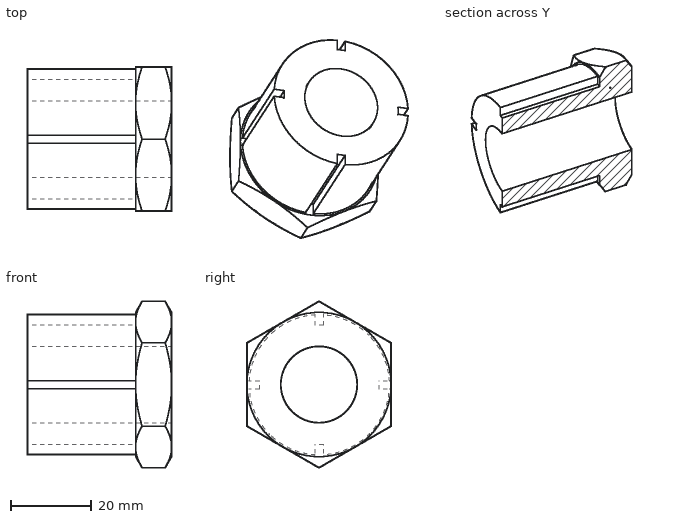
import cadquery as cq
import math

barrel_diameter = 35.0
barrel_length = 27.0
bore_diameter = 19.0

head_sides = 6
across_flats = 36.0
head_thickness = 9.0
chamfer_angle = 30.0

slot_count = 4
slot_width = 2.0
slot_floor_radius = 14.85

total_length = barrel_length + head_thickness
corner_radius = across_flats / 2 / math.cos(math.pi / head_sides)
chamfer_length = (corner_radius - across_flats / 2) * math.tan(math.radians(chamfer_angle))


def make_head():
    """Hexagon with corners on +/-Z, both faces chamfered down to the inscribed circle."""
    hexagon = (
        cq.Workplane("YZ")
        .workplane(offset=barrel_length)
        .transformed(rotate=(0, 0, 90))
        .polygon(head_sides, 2 * corner_radius)
        .extrude(head_thickness)
    )
    envelope = (
        cq.Workplane("XY")
        .moveTo(barrel_length, 0)
        .lineTo(barrel_length, across_flats / 2)
        .lineTo(barrel_length + chamfer_length, corner_radius)
        .lineTo(total_length - chamfer_length, corner_radius)
        .lineTo(total_length, across_flats / 2)
        .lineTo(total_length, 0)
        .close()
        .revolve(360, (0, 0, 0), (1, 0, 0))
    )
    return hexagon.intersect(envelope)


def make_barrel():
    """Cylinder with evenly spaced slots running its full length up to the head."""
    barrel = cq.Workplane("YZ").circle(barrel_diameter / 2).extrude(barrel_length)
    cutter_height = barrel_diameter / 2
    slot = (
        cq.Workplane("XY")
        .box(barrel_length, slot_width, cutter_height, centered=(False, True, False))
        .translate((0, 0, slot_floor_radius))
    )
    for index in range(slot_count):
        barrel = barrel.cut(slot.rotate((0, 0, 0), (1, 0, 0), index * 360 / slot_count))
    return barrel


def make_bore():
    """Through bore along the whole part."""
    return cq.Workplane("YZ").circle(bore_diameter / 2).extrude(total_length)


result = make_barrel().union(make_head()).cut(make_bore())